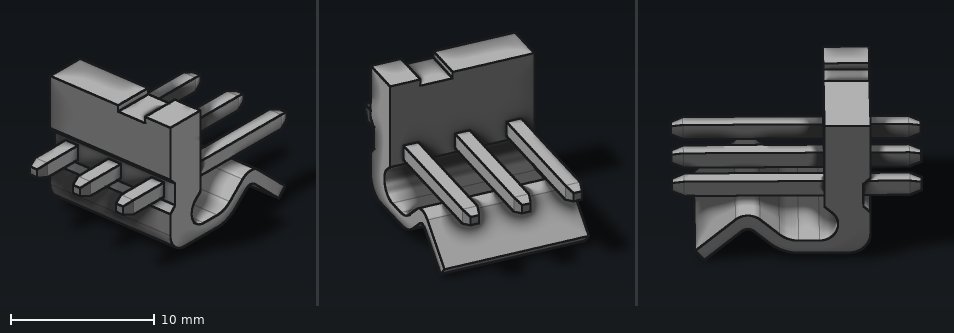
import cadquery as cq
import math


width = 11.12
wall_thickness = 3.21
wall_height = 10.2
clip_thickness = 1.0
heel_radius = 1.5

throat_radius = 1.3
throat_center_y = 3.56
throat_center_z = clip_thickness + throat_radius

arm_angle = math.radians(41.5)
valley_y = 5.78
crest_y = 8.57
tail_y = 12.25
valley_inner_radius = 2.0
valley_outer_radius = valley_inner_radius + clip_thickness
crest_outer_radius = 1.3
crest_inner_radius = 0.63

pin_count = 3
pin_pitch = 3.96
pin_size = 1.15
pin_tip_size = 0.66
pin_tip_length = 0.84
pin_length = 17.45
pin_front_y = -3.6
pin_z = 4.62

groove_depth = 0.5
groove_half_height = 0.87
groove_mouth_half_height = groove_half_height + groove_depth

notch_width = 2.48
notch_depth = 0.5
notch_x = pin_pitch / 2


def make_body():
    slope = math.tan(arm_angle)
    crest_z = clip_thickness + (crest_y - valley_y) * slope
    tail_z = crest_z - (tail_y - crest_y) * slope
    valley_under_y = valley_y + clip_thickness * math.tan(arm_angle / 2)
    crest_under_z = crest_z - clip_thickness / math.cos(arm_angle)
    tail_under = (
        tail_y - clip_thickness * math.sin(arm_angle),
        tail_z - clip_thickness * math.cos(arm_angle),
    )

    throat_end_y = throat_center_y - throat_radius * math.sin(arm_angle)
    throat_end_z = throat_center_z + throat_radius * math.cos(arm_angle)
    wall_back_z = throat_end_z + (wall_thickness - throat_end_y) * slope

    body = (
        cq.Workplane("YZ")
        .moveTo(0, 0)
        .lineTo(valley_under_y, 0)
        .lineTo(crest_y, crest_under_z)
        .lineTo(*tail_under)
        .lineTo(tail_y, tail_z)
        .lineTo(crest_y, crest_z)
        .lineTo(valley_y, clip_thickness)
        .lineTo(throat_center_y, clip_thickness)
        .threePointArc(
            (throat_center_y - throat_radius, throat_center_z),
            (throat_end_y, throat_end_z),
        )
        .lineTo(wall_thickness, wall_back_z)
        .lineTo(wall_thickness, wall_height)
        .lineTo(0, wall_height)
        .lineTo(0, pin_z + groove_mouth_half_height)
        .lineTo(groove_depth, pin_z + groove_half_height)
        .lineTo(groove_depth, pin_z - groove_half_height)
        .lineTo(0, pin_z - groove_mouth_half_height)
        .close()
        .extrude(width / 2, both=True)
    )

    rounded_corners = [
        (0, 0, heel_radius),
        (valley_under_y, 0, valley_outer_radius),
        (crest_y, crest_under_z, crest_inner_radius),
        (crest_y, crest_z, crest_outer_radius),
        (valley_y, clip_thickness, valley_inner_radius),
    ]
    for y, z, radius in rounded_corners:
        corner = cq.selectors.NearestToPointSelector((0, y, z))
        body = body.edges("|X").edges(corner).fillet(radius)
    return body


def cut_notch(body):
    notch = cq.Workplane("XY").box(
        notch_width, wall_thickness, notch_depth, centered=(True, False, False)
    )
    return body.cut(notch.translate((notch_x, 0, wall_height - notch_depth)))


def make_pin(x):
    taper = math.degrees(math.atan2((pin_size - pin_tip_size) / 2, pin_tip_length))
    shank_length = pin_length - 2 * pin_tip_length
    pin = cq.Workplane("XY").box(pin_size, shank_length, pin_size)
    for end in ("<Y", ">Y"):
        tip = (
            pin.faces(end)
            .workplane(centerOption="CenterOfMass")
            .rect(pin_size, pin_size)
            .extrude(pin_tip_length, taper=taper, combine=False)
        )
        pin = pin.union(tip)
    return pin.translate((x, pin_front_y + pin_length / 2, pin_z))


result = cut_notch(make_body())
for index in range(pin_count):
    pin_x = (index - (pin_count - 1) / 2) * pin_pitch
    result = result.union(make_pin(pin_x))